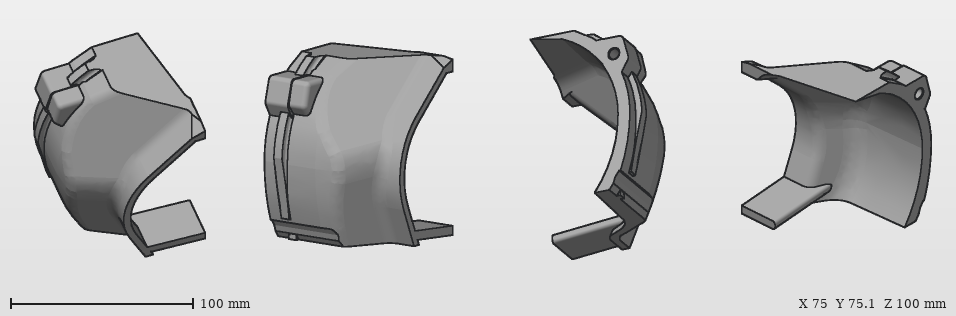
import cadquery as cq
import math

LENGTH = 75.0
DEPTH = 75.1
HEIGHT = 100.0

LEAN_MAX = 0.8
LEAN_MIN = 0.01
EDGE_GAP = 0.1
REACH = 300.0
MARGIN = 5.0

AXIS_Y = -8.5
AXIS_Z = 44.5
BARREL_RADIUS = 63.6
BARREL_LOWER_RADIUS = 105.0
BARREL_ROOF_START = 50.0
BARREL_ROOF_SLOPE = 31.0
LOWER_ARC_ANGLE = 44.0
BORE_RADIUS = 56.4
BORE_LOWER_RADIUS = 76.0
BORE_DRAFT = 2.0
BORE_ROOF_START = 67.0
BORE_ROOF_SLOPE = 10.5

NECK_Y = -3.3
NECK_Z = 39.4
NECK_RADIUS = 44.6
NECK_START_X = 50.0
NECK_WALL = 4.2
UPPER_FLAT_ANGLE = 47.6
LOWER_FLAT_ANGLE = -23.0
SHOULDER_X = 59.6
SHOULDER_RADIUS = 17.0
SHOULDER_SLOPE_Y = 1.65
SHOULDER_SLOPE_Z = 0.34
SHOULDER_WALL = 5.5
BARREL_TAPER_FROM_X = 35.0
BARREL_TAPER = 8.0
BARREL_FILLET = 9.0
NECK_FILLET = 8.0
BORE_BARREL_FILLET = 14.0
BORE_NECK_FILLET = 8.0

CROWN_FROM_X = 62.6
CROWN_TOP_X = 68.9
CROWN_NORMAL = (0.2, -0.41, 1.0)
CROWN_REACH_Y = 12.0
NECK_BORE_TOP = 92.0

RIB_CENTRE_X = 11.7
RIB_CREST_WIDTH = 5.0
RIB_WAIST_WIDTH = 6.0
RIB_BASE_FILLET = 2.1
RIB_BASE_RADIUS = 63.4
RIB_ROOT_RADIUS = 60.0
RIB_LIMIT_RADIUS = 68.5
RIB_RADIUS = 66.7
RIB_TOP_ANGLE = 65.0
RIB_FADE_START = 3.0
RIB_FADE_Y = -68.4
RIB_FADE_Z = 12.9
RIB_END_Y = -62.0
RIB_END_Z = 10.4

BOSS_WIDE_LENGTH = 15.5
BOSS_LENGTH = 26.5
BOSS_FRONT_Y = -66.5
BOSS_FRONT_BOTTOM = 75.0
BOSS_FRONT_FILLET = 3.0
BOSS_END_FILLET = 2.9
BOSS_WIDE_OUTLINE = [(-45, 91.4), (-67.5, 91.4), (-71.4, 77), (-66.5, 68.3), (-58, 68.3)]
BOSS_SLIM_OUTLINE = [(-45, 91), (-67, 91), (-70.2, 77), (-66, 71.8), (-52, 69.5)]
HOLE_Y = -62.3
HOLE_Z = 81.3
HOLE_RADIUS = 3.1
HOLE_MOUTH_CHAMFER = 0.4
HOLE_DEPTH = 16.0
HOLE_TIP_RADIUS = 1.2
HOLE_TIP_LENGTH = 2.0

STEP_LENGTH = 48.0
STEP_OUTLINE = [(-65.5, 10.4), (-63.1, 7), (-62, 3.5), (-59.5, 0)]
FOOT_Y = -61.8
FOOT_ROOT_Y = -58.5
FOOT_TOP_Z = 4.0

WEB_START_X = 50.0
WEB_TOP_Z = 5.5
WEB_THICKNESS = 5.3
WEB_ANGLE = 5.0
WEB_EDGE_FILLET = 2.0


def on_circle(centre_y, centre_z, radius, degrees):
    """Point at an angle above the -Y direction."""
    angle = math.radians(degrees)
    return (centre_y - radius * math.cos(angle), centre_z + radius * math.sin(angle))


def section(x):
    return cq.Workplane("YZ", origin=(x, 0, 0))


def block(x0, x1, y0, y1, z0, z1):
    return cq.Workplane("XY").box(x1 - x0, y1 - y0, z1 - z0, centered=False).translate((x0, y0, z0))


def envelope(top):
    return block(0, LENGTH, -DEPTH, 0, 0, top)


def barrel_outline(plane, upper_radius, lower_radius, roof_from, roof_slope):
    """Upper arc that runs into a straight roof, and a tangent lower arc of larger radius."""
    roof_start = on_circle(AXIS_Y, AXIS_Z, upper_radius, roof_from)
    lower_axis_y = AXIS_Y + lower_radius - upper_radius
    run = MARGIN - roof_start[0]
    roof_end = (MARGIN, roof_start[1] + run * math.tan(math.radians(roof_slope)))
    foot = on_circle(lower_axis_y, AXIS_Z, lower_radius, -LOWER_ARC_ANGLE)
    return (
        plane.moveTo(*roof_end)
        .lineTo(*roof_start)
        .threePointArc(
            on_circle(AXIS_Y, AXIS_Z, upper_radius, roof_from / 2),
            on_circle(AXIS_Y, AXIS_Z, upper_radius, 0),
        )
        .threePointArc(on_circle(lower_axis_y, AXIS_Z, lower_radius, -LOWER_ARC_ANGLE / 2), foot)
        .lineTo(MARGIN, foot[1])
        .close()
    )


def wedge_outline(x, flat_distance, nose_radius, shift_y=0.0, shift_z=0.0):
    """Two flats at a distance from the neck axis, with a rounded nose between them."""
    middle = (UPPER_FLAT_ANGLE + LOWER_FLAT_ANGLE) / 2
    half = math.radians(UPPER_FLAT_ANGLE - LOWER_FLAT_ANGLE) / 2
    nose_y, nose_z = on_circle(
        NECK_Y + shift_y, NECK_Z + shift_z, (flat_distance - nose_radius) / math.cos(half), middle
    )
    upper = on_circle(nose_y, nose_z, nose_radius, UPPER_FLAT_ANGLE)
    lower = on_circle(nose_y, nose_z, nose_radius, LOWER_FLAT_ANGLE)
    return (
        section(x)
        .moveTo(*on_circle(*upper, REACH, UPPER_FLAT_ANGLE + 90))
        .lineTo(*upper)
        .threePointArc(on_circle(nose_y, nose_z, nose_radius, middle), lower)
        .lineTo(*on_circle(*lower, REACH, LOWER_FLAT_ANGLE - 90))
        .close()
    )


def shoulder(shift_x):
    """Wedge that leans along the shoulder line, reaching from the far end to before x = 0."""
    ahead = LENGTH - SHOULDER_X
    outline = wedge_outline(
        LENGTH + shift_x, NECK_RADIUS, SHOULDER_RADIUS, ahead * SHOULDER_SLOPE_Y, ahead * SHOULDER_SLOPE_Z
    )
    run = LENGTH + 2 * MARGIN
    face = cq.Face.makeFromWires(outline.wires().val())
    lean = cq.Vector(-run, -run * SHOULDER_SLOPE_Y, -run * SHOULDER_SLOPE_Z)
    return cq.Workplane(cq.Solid.extrudeLinear(face, lean))


def neck(radius, top):
    outline = wedge_outline(NECK_START_X, radius, radius)
    return outline.extrude(LENGTH - NECK_START_X).intersect(envelope(top))


def edges_across(body, x0, x1, top, lean_min):
    """Edges between x0 and x1, clear of the top and bottom faces, that run across the part.

    The lean is the x share of an edge's direction; an edge square to x has none.
    """
    region = cq.selectors.BoxSelector((x0, -DEPTH, EDGE_GAP), (x1, -EDGE_GAP, top - EDGE_GAP))
    found = body.edges(region)
    return found.filter(lambda edge: lean_min <= abs(edge.tangentAt(0.5).x) < LEAN_MAX)


def rounded_shell(barrel, shift_x, neck_radius, neck_top, barrel_fillet, neck_fillet):
    """Barrel closed by a leaning shoulder, with a neck behind it and both transitions rounded."""
    body = barrel.intersect(shoulder(shift_x)).intersect(envelope(HEIGHT))
    body = body.union(neck(neck_radius, neck_top))
    split_x = NECK_START_X + MARGIN
    body = edges_across(body, split_x, SHOULDER_X + MARGIN, neck_top, 0).fillet(neck_fillet)
    return edges_across(body, NECK_START_X / 2, split_x, HEIGHT, LEAN_MIN).fillet(barrel_fillet)


def barrel_section(x):
    return barrel_outline(
        section(x), BARREL_RADIUS, BARREL_LOWER_RADIUS, BARREL_ROOF_START, BARREL_ROOF_SLOPE
    )


def outer_shell():
    straight = barrel_section(0).extrude(BARREL_TAPER_FROM_X)
    tapered = barrel_section(BARREL_TAPER_FROM_X).extrude(LENGTH - BARREL_TAPER_FROM_X, taper=BARREL_TAPER)
    barrel = straight.union(tapered)
    shell = rounded_shell(barrel, 0, NECK_RADIUS, HEIGHT, BARREL_FILLET, NECK_FILLET)
    plane = cq.Plane(origin=(CROWN_TOP_X, 0, HEIGHT), xDir=(1, 0, -CROWN_NORMAL[0]), normal=CROWN_NORMAL)
    above = cq.Workplane(plane).rect(REACH, REACH).extrude(REACH)
    return shell.cut(above.intersect(block(CROWN_FROM_X, LENGTH, -CROWN_REACH_Y, 0, 0, HEIGHT)))


def cavity():
    bore = barrel_outline(section(0), BORE_RADIUS, BORE_LOWER_RADIUS, BORE_ROOF_START, BORE_ROOF_SLOPE)
    return rounded_shell(
        bore.extrude(LENGTH, taper=BORE_DRAFT),
        -SHOULDER_WALL,
        NECK_RADIUS - NECK_WALL,
        NECK_BORE_TOP,
        BORE_BARREL_FILLET,
        BORE_NECK_FILLET,
    )


def rib_profile():
    """Cross-section revolved round the barrel axis: steep flanks that flare out at the base."""
    flare = RIB_BASE_FILLET * math.sqrt(0.5)
    flare_x = RIB_WAIST_WIDTH / 2 + RIB_BASE_FILLET
    flare_radius = RIB_BASE_RADIUS + RIB_BASE_FILLET
    half = (
        cq.Workplane("XY")
        .moveTo(0, RIB_ROOT_RADIUS)
        .lineTo(flare_x, RIB_ROOT_RADIUS)
        .lineTo(flare_x, RIB_BASE_RADIUS)
        .threePointArc((flare_x - flare, flare_radius - flare), (RIB_WAIST_WIDTH / 2, flare_radius))
        .lineTo(RIB_CREST_WIDTH / 2, RIB_LIMIT_RADIUS)
        .lineTo(0, RIB_LIMIT_RADIUS)
        .close()
    )
    ring = half.revolve(360, (0, 0, 0), (1, 0, 0))
    return ring.union(ring.mirror("YZ")).translate((RIB_CENTRE_X, AXIS_Y, AXIS_Z))


def rib():
    """Ring cut down to the crest: an arc round the barrel, then a straight fade to the lower end."""
    crest_top = on_circle(AXIS_Y, AXIS_Z, RIB_RADIUS, RIB_TOP_ANGLE)
    crest = (
        section(0)
        .moveTo(AXIS_Y, AXIS_Z)
        .lineTo(*crest_top)
        .threePointArc(
            on_circle(AXIS_Y, AXIS_Z, RIB_RADIUS, RIB_TOP_ANGLE / 2),
            on_circle(AXIS_Y, AXIS_Z, RIB_RADIUS, RIB_FADE_START),
        )
        .lineTo(RIB_FADE_Y, RIB_FADE_Z)
        .lineTo(RIB_END_Y, RIB_END_Z)
        .close()
        .extrude(2 * RIB_CENTRE_X)
    )
    return rib_profile().intersect(crest)


def boss():
    front_edges = cq.selectors.BoxSelector((0, -DEPTH, BOSS_FRONT_BOTTOM), (LENGTH, BOSS_FRONT_Y, HEIGHT))
    wide = section(0).polyline(BOSS_WIDE_OUTLINE).close().extrude(BOSS_WIDE_LENGTH)
    slim = section(0).polyline(BOSS_SLIM_OUTLINE).close().extrude(BOSS_LENGTH)
    wide = wide.edges("|X").edges(front_edges).fillet(BOSS_FRONT_FILLET)
    slim = slim.edges("|X").edges(front_edges).fillet(BOSS_FRONT_FILLET)
    slim = slim.faces(">X").edges().fillet(BOSS_END_FILLET)
    return wide.union(slim)


def screw_hole():
    """Blind hole with a chamfered mouth and a conical bottom, revolved about its axis along x."""
    mouth = HOLE_RADIUS + HOLE_MOUTH_CHAMFER
    profile = [
        (0, 0),
        (0, mouth),
        (HOLE_MOUTH_CHAMFER, HOLE_RADIUS),
        (HOLE_DEPTH, HOLE_RADIUS),
        (HOLE_DEPTH + HOLE_TIP_LENGTH, HOLE_TIP_RADIUS),
        (HOLE_DEPTH + HOLE_TIP_LENGTH, 0),
    ]
    plug = cq.Workplane("XY").polyline(profile).close().revolve(360, (0, 0, 0), (1, 0, 0))
    return plug.translate((0, HOLE_Y, HOLE_Z))


def lower_step():
    outline = [(-REACH, STEP_OUTLINE[0][1])] + STEP_OUTLINE + [(-REACH, STEP_OUTLINE[-1][1])]
    return section(0).polyline(outline).close().extrude(STEP_LENGTH)


def foot():
    left = RIB_CENTRE_X - RIB_CREST_WIDTH / 2
    return block(left, left + RIB_CREST_WIDTH, FOOT_Y, FOOT_ROOT_Y, 0, FOOT_TOP_Z)


def web():
    """Sloping plate that crosses the cavity and rises towards the front."""
    drop = REACH * math.tan(math.radians(WEB_ANGLE))
    outline = [
        (0, WEB_TOP_Z),
        (-REACH, WEB_TOP_Z + drop),
        (-REACH, WEB_TOP_Z + drop - WEB_THICKNESS),
        (0, WEB_TOP_Z - WEB_THICKNESS),
    ]
    plate = section(WEB_START_X).polyline(outline).close().extrude(LENGTH - WEB_START_X)
    return plate.faces("<X").edges("not |Z").fillet(WEB_EDGE_FILLET)


body = outer_shell().union(rib()).union(boss()).intersect(envelope(HEIGHT))
body = body.cut(lower_step()).union(foot())
result = body.cut(cavity().cut(web())).cut(screw_hole())